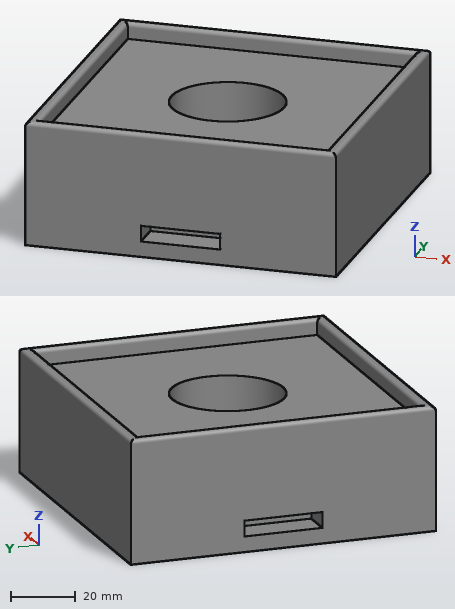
import cadquery as cq

side = 100.0
height = 40.1

rim_round = 1.3
rim_flat = 1.2
rim_width = 2 * rim_round + rim_flat
recess_depth = 5.1
recess_side = side - 2 * rim_width
recess_floor = height - recess_depth

pocket_diameter = 36.2
pocket_depth = 22.8

slot_width = 25.5
slot_height = 5.1
slot_bottom = 5.1
slot_depth = 10.0


def rimmed_block():
    """Block with a square recess and a rounded rim, standing on Z = 0."""
    block = cq.Workplane("XY").box(side, side, height, centered=(True, True, False))
    recess = (
        cq.Workplane("XY")
        .workplane(offset=recess_floor)
        .rect(recess_side, recess_side)
        .extrude(recess_depth)
    )
    return block.cut(recess).faces(">Z").edges().fillet(rim_round)


def round_pocket():
    """Cylinder removed below the recess floor."""
    return (
        cq.Workplane("XY")
        .workplane(offset=recess_floor - pocket_depth)
        .circle(pocket_diameter / 2)
        .extrude(pocket_depth)
    )


def front_slot():
    """Bar removed from the middle of the -Y side."""
    return (
        cq.Workplane("XY")
        .box(slot_width, slot_depth, slot_height, centered=(True, False, False))
        .translate((0, -side / 2, slot_bottom))
    )


result = rimmed_block().cut(round_pocket())

for turn in (0, -90):
    slot = front_slot().rotate((0, 0, 0), (0, 0, 1), turn)
    result = result.cut(slot)